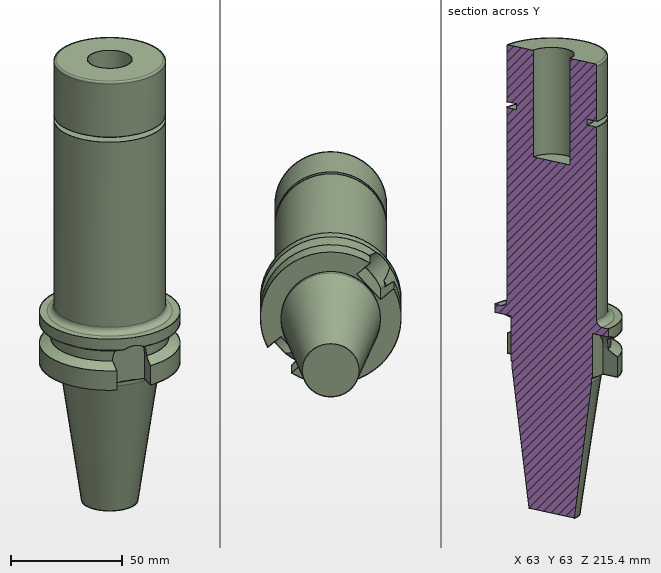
import cadquery as cq
import math


gauge_radius = 44.45 / 2
taper_length = 65.4
taper_slope = 7 / 48

flange_radius = 63 / 2
flange_bottom_z = 2
flange_top_z = 27
groove_radius = 53 / 2
groove_center_z = 16.55
groove_mouth_width = 10.1
groove_flank_angle = 27.5

slot_width = 16.1
slot_top_z = 23
slot_floor_x = 22.6

nose_radius = 25
nose_top_z = 150
nose_fillet = 3
top_fillet = 1

ring_groove_center_z = nose_top_z - 28.25
ring_groove_width = 2.5
ring_groove_depth = 5.25

bore_radius = 10
bore_depth = 50


def make_shank_and_flange():
    """Revolve the taper and the V-grooved flange."""
    tip_radius = gauge_radius - taper_length * taper_slope
    flank_height = (flange_radius - groove_radius) * math.tan(math.radians(groove_flank_angle))
    mouth_bottom_z = groove_center_z - groove_mouth_width / 2
    mouth_top_z = groove_center_z + groove_mouth_width / 2
    profile = (
        cq.Workplane("XZ")
        .moveTo(0, -taper_length)
        .lineTo(tip_radius, -taper_length)
        .lineTo(gauge_radius, 0)
        .lineTo(gauge_radius, flange_bottom_z)
        .lineTo(flange_radius, flange_bottom_z)
        .lineTo(flange_radius, mouth_bottom_z)
        .lineTo(groove_radius, mouth_bottom_z + flank_height)
        .lineTo(groove_radius, mouth_top_z - flank_height)
        .lineTo(flange_radius, mouth_top_z)
        .lineTo(flange_radius, flange_top_z)
        .lineTo(0, flange_top_z)
        .close()
    )
    return profile.revolve(360, (0, 0, 0), (0, 1, 0))


def make_nose():
    """Revolve the nose with its concave root fillet and rounded top edge."""
    top_corner_offset = top_fillet * (1 - math.sqrt(0.5))
    root_offset = nose_fillet * (1 - math.sqrt(0.5))
    profile = (
        cq.Workplane("XZ")
        .moveTo(0, flange_top_z)
        .lineTo(nose_radius + nose_fillet, flange_top_z)
        .threePointArc(
            (nose_radius + root_offset, flange_top_z + root_offset),
            (nose_radius, flange_top_z + nose_fillet),
        )
        .lineTo(nose_radius, nose_top_z - top_fillet)
        .threePointArc(
            (nose_radius - top_corner_offset, nose_top_z - top_corner_offset),
            (nose_radius - top_fillet, nose_top_z),
        )
        .lineTo(0, nose_top_z)
        .close()
    )
    return profile.revolve(360, (0, 0, 0), (0, 1, 0))


def make_ring_groove():
    """Ring-shaped cutter for the narrow groove around the nose."""
    bottom_z = ring_groove_center_z - ring_groove_width / 2
    floor_radius = nose_radius - ring_groove_depth
    return (
        cq.Workplane("XY")
        .workplane(offset=bottom_z)
        .circle(flange_radius)
        .circle(floor_radius)
        .extrude(ring_groove_width)
    )


def make_drive_slot(side):
    """Round-topped slot cutter, open downward; side is -1 or +1 along X."""
    half_width = slot_width / 2
    arc_center_z = slot_top_z - half_width
    return (
        cq.Workplane("YZ")
        .workplane(offset=side * slot_floor_x)
        .moveTo(-half_width, flange_bottom_z)
        .lineTo(-half_width, arc_center_z)
        .threePointArc((0, slot_top_z), (half_width, arc_center_z))
        .lineTo(half_width, flange_bottom_z)
        .close()
        .extrude(side * (flange_radius - slot_floor_x))
    )


def make_bore():
    """Cutter for the flat-bottomed tool bore."""
    return cq.Workplane("XY").workplane(offset=nose_top_z).circle(bore_radius).extrude(-bore_depth)


result = make_shank_and_flange().union(make_nose())
result = result.cut(make_ring_groove())
for slot_side in (-1, 1):
    result = result.cut(make_drive_slot(slot_side))
result = result.cut(make_bore())